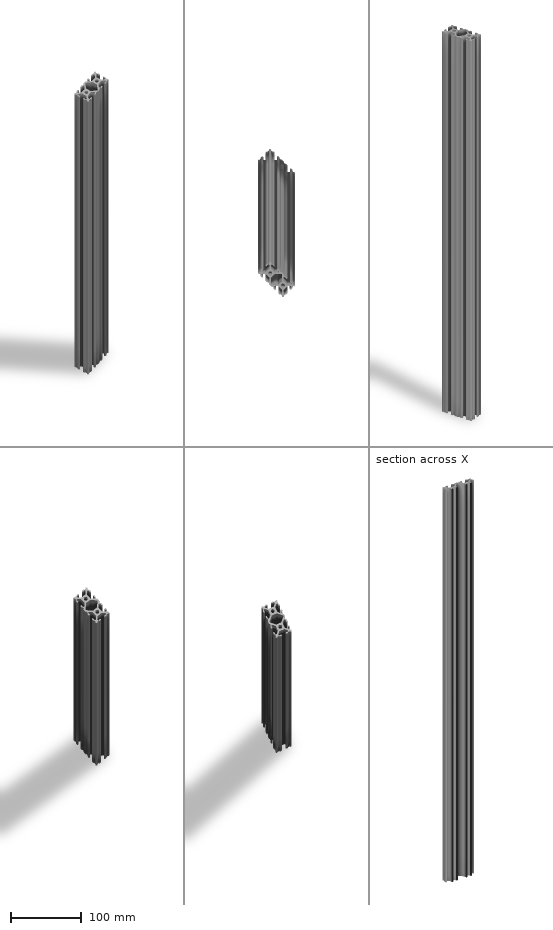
import cadquery as cq
import math

length = 609.5
cell = length / 24
half_cell = cell / 2
corner_radius = 2.5

slot_opening = 6.0
slot_inner_width = 14.5
slot_depth = 7.5
lip_thickness = 1.95
lip_radius = 1.15

core_bore = 5.4
spoke_thickness = 2.15
side_wall = 2.1

groove_inset = 4.0
groove_width = 3.3
groove_depth = 1.15
groove_edge_radius = 0.9

cell_centers = (-half_cell, half_cell)
groove_offset = half_cell - groove_inset
core_half_width = half_cell - slot_depth
spoke_shift = spoke_thickness / math.sqrt(2)
core_flat_half_width = core_half_width - spoke_shift


def mirrored(right_points):
    """Complete a symmetric outline from the points on its +X side."""
    return right_points + [(-x, y) for x, y in reversed(right_points)]


def prism(points):
    """Extrude a closed XY outline over the full length."""
    return cq.Workplane("XY").polyline(points).close().extrude(length)


def channel(center_x, width, depth, edge_radius):
    """Channel cut into the +Y face of a cell, with its outer edges rounded."""
    left = center_x - width / 2
    right = center_x + width / 2
    bottom = half_cell - depth
    arc_start = half_cell - edge_radius
    return (
        cq.Workplane("XY")
        .moveTo(left, bottom)
        .lineTo(right, bottom)
        .lineTo(right, arc_start)
        .radiusArc((right + edge_radius, half_cell), edge_radius)
        .lineTo(left - edge_radius, half_cell)
        .radiusArc((left, arc_start), edge_radius)
        .close()
        .extrude(length)
    )


def slot_chamber():
    """Wide part of the T-slot: square under the lips, then tapering along the spokes to the core."""
    half_width = slot_inner_width / 2
    return prism(mirrored([
        (half_width, half_cell - lip_thickness),
        (half_width, half_width + spoke_shift),
        (core_flat_half_width, core_half_width),
    ]))


def side_cutter():
    """T-slot and its two grooves on the +Y side of a cell centred on the origin."""
    cutter = slot_chamber().union(channel(0, slot_opening, lip_thickness, lip_radius))
    for x in (-groove_offset, groove_offset):
        cutter = cutter.union(channel(x, groove_width, groove_depth, groove_edge_radius))
    return cutter


def central_cavity():
    """Opening between the two cores, bounded by the spokes and the side walls."""
    half_width = half_cell - side_wall
    wall_half_length = half_cell - half_width - spoke_shift
    return prism(mirrored([
        (core_flat_half_width, slot_depth),
        (half_width, wall_half_length),
        (half_width, -wall_half_length),
        (core_flat_half_width, -slot_depth),
    ]))


result = cq.Workplane("XY").box(cell, 2 * cell, length, centered=(True, True, False))
result = result.edges("|Z").fillet(corner_radius)

cutter = side_cutter()
for center_y, end_angle in zip(cell_centers, (180, 0)):
    for angle in (90, -90, end_angle):
        placed_cutter = cutter.rotate((0, 0, 0), (0, 0, 1), angle).translate((0, center_y, 0))
        result = result.cut(placed_cutter)

result = result.cut(central_cavity())
core_centers = [(0, center_y) for center_y in cell_centers]
core_bores = cq.Workplane("XY").pushPoints(core_centers).circle(core_bore / 2).extrude(length)
result = result.cut(core_bores)